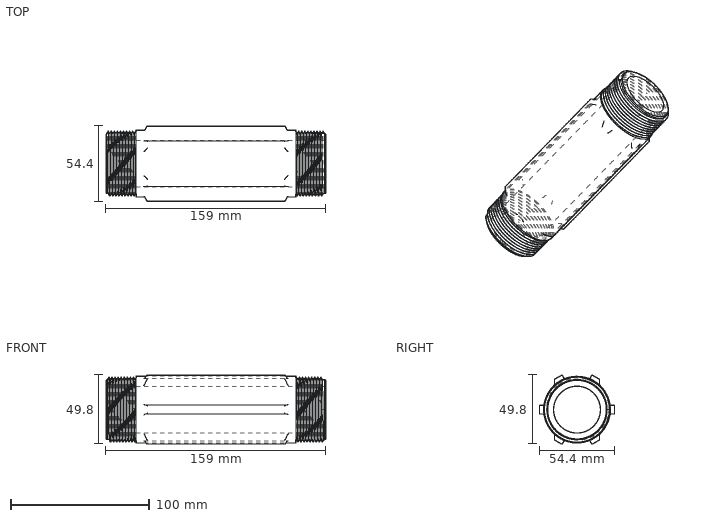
import cadquery as cq
import math

length = 159.0
bore_diameter = 33.7
body_diameter = 48.3
half_length = length / 2
body_radius = body_diameter / 2

thread_length = 21.8
body_half_length = half_length - thread_length
thread_core_radius = 21.8
thread_crest_radius = 23.5
thread_turns = 9
thread_turns_length = 19.9
thread_pitch = thread_turns_length / thread_turns
thread_flank_angle = 30.0
thread_crest_flat = 0.1
left_thread_start = 1.6
right_thread_start = 2.0
thread_embed = 0.3
end_chamfer_length = 1.0
end_chamfer_depth = 0.6

rib_span = 54.4
rib_width = 6.5
rib_tip_length = 99.9
rib_base_length = 103.0
rib_tip_fillet = 0.8
rib_foot_fillet = 0.6
diagonal_rib_angle = 30.0
rib_tip_radius = rib_span / 2
rib_root_radius = 21.5
rib_height = rib_tip_radius - body_radius
surface_tolerance = 0.002


def x_cylinder(radius, half_extent):
    """Cylinder around the X axis, centred on the origin."""
    return cq.Workplane("YZ").circle(radius).extrude(half_extent, both=True)


def make_rib(outer_slope):
    """Rib on the +Z side; its +Y side moves outwards by outer_slope per unit of depth."""
    depth = rib_tip_radius - rib_root_radius
    end_slope = (rib_base_length - rib_tip_length) / 2 / rib_height
    half_width = rib_width / 2
    half_tip_length = rib_tip_length / 2
    half_root_length = half_tip_length + end_slope * depth
    outer_root = half_width + outer_slope * depth
    cross_section = (
        cq.Workplane("YZ")
        .polyline([
            (-half_width, rib_tip_radius),
            (half_width, rib_tip_radius),
            (outer_root, rib_root_radius),
            (-half_width, rib_root_radius),
        ])
        .close()
        .extrude(half_root_length, both=True)
    )
    side_outline = (
        cq.Workplane("XZ")
        .polyline([
            (-half_tip_length, rib_tip_radius),
            (half_tip_length, rib_tip_radius),
            (half_root_length, rib_root_radius),
            (-half_root_length, rib_root_radius),
        ])
        .close()
        .extrude(outer_root, both=True)
    )
    return cross_section.intersect(side_outline).faces(">Z").edges().fillet(rib_tip_fillet)


def make_ribs():
    """Two ribs on the Y axis and four diagonal ribs whose outer sides stand parallel to Z."""
    side_rib = make_rib(0).rotate((0, 0, 0), (1, 0, 0), -90)
    diagonal_slope = math.tan(math.radians(diagonal_rib_angle))
    diagonal_rib = make_rib(diagonal_slope).rotate((0, 0, 0), (1, 0, 0), -diagonal_rib_angle)
    half_set = [side_rib, diagonal_rib, diagonal_rib.mirror("XY")]
    return half_set + [rib.mirror("XZ") for rib in half_set]


def is_rib_foot(edge):
    """True for an edge that lies on the body surface and stays clear of the body ends."""
    ends = [edge.startPoint(), edge.endPoint()]
    return all(
        abs(math.hypot(point.y, point.z) - body_radius) < surface_tolerance
        and abs(point.x) < body_half_length - surface_tolerance
        for point in ends
    )


def make_ribbed_body():
    """Plain body with all six ribs and the rounded feet of the ribs."""
    body = x_cylinder(body_radius, body_half_length)
    for rib in make_ribs():
        body = body.union(rib)
    return body.edges().filter(is_rib_foot).fillet(rib_foot_fillet)


def make_thread(start):
    """Right-handed helical ridge on the -X end; its first crest lies on the +Y side."""
    ridge_root_radius = thread_core_radius - thread_embed
    ridge_height = thread_crest_radius - ridge_root_radius
    crest_half_width = thread_crest_flat / 2
    root_half_width = crest_half_width + ridge_height * math.tan(math.radians(thread_flank_angle))
    helix_length = thread_length - start + thread_embed
    helix = cq.Wire.makeHelix(thread_pitch, helix_length, ridge_root_radius)
    ridge = (
        cq.Workplane("XZ")
        .polyline([
            (ridge_root_radius, -root_half_width),
            (thread_crest_radius, -crest_half_width),
            (thread_crest_radius, crest_half_width),
            (ridge_root_radius, root_half_width),
        ])
        .close()
        .sweep(cq.Workplane(helix), isFrenet=True)
    )
    along_x = ridge.rotate((0, 0, 0), (0, 0, 1), 90).rotate((0, 0, 0), (0, 1, 0), 90)
    return along_x.translate((start - half_length, 0, 0))


core = x_cylinder(thread_core_radius, half_length)
core = core.faces("<X or >X").chamfer(end_chamfer_length, end_chamfer_depth)
left_thread = make_thread(left_thread_start)
right_thread = make_thread(right_thread_start).rotate((0, 0, 0), (0, 1, 0), 180)
bore = x_cylinder(bore_diameter / 2, half_length)

result = core.union(left_thread).union(right_thread).union(make_ribbed_body()).cut(bore)